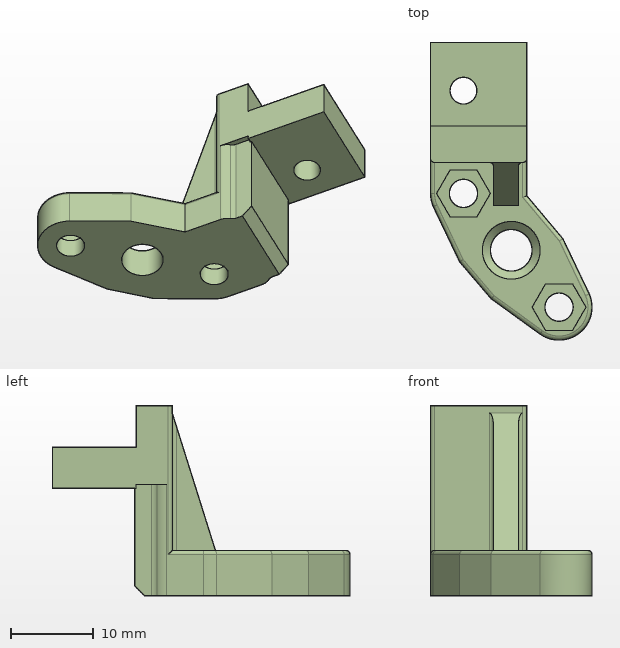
import cadquery as cq
import math


base_height = 5.5
end_radius = 4.0
far_hole_x = 11.55
far_hole_y = -13.75
neck_y = -0.3
edge_fillet = 0.5

part_width = 11.65
left_x = -end_radius
right_x = left_x + part_width
wall_top = 23.0
wall_front_y = 3.75
wall_back_y = 8.13
tang_back_y = 35.98 + far_hole_y - end_radius
tang_bottom = 13.0
tang_thickness = 5.0
tang_hole_y = 12.4
tang_hole_diameter = 3.2

column_back_y = 8.3
column_top = 13.45
column_inset = 0.6
column_chamfer = 1.22
blend_front_y = 4.43
blend_middle_y = 5.6
blend_back_y = 6.25

rib_left_x = 3.65
rib_width = 3.0
rib_front_y = -1.48
rib_top = 22.1
rib_flare = 0.5

screw_diameter = 3.4
nut_across_corners = 6.5
nut_depth = 2.65
center_hole_diameter = 5.0
countersink_diameter = 6.98

center_x = far_hole_x / 2
center_y = far_hole_y / 2


def opposite(point):
    """Point turned by half a turn about the center hole."""
    return (2 * center_x - point[0], 2 * center_y - point[1])


def on_end_circle(angle, x=0, y=0):
    """Point at an angle in degrees on a rounded end centered at x, y."""
    turn = math.radians(angle)
    return (x + end_radius * math.cos(turn), y + end_radius * math.sin(turn))


def box(x_range, y_range, z_range):
    """Axis-aligned block between pairs of limits."""
    size = [high - low for low, high in (x_range, y_range, z_range)]
    corner = (x_range[0], y_range[0], z_range[0])
    return cq.Workplane("XY").box(*size, centered=False).translate(corner)


def make_base():
    """Elongated plate with rounded ends and faceted long sides."""
    near_tangent = on_end_circle(203.5)
    arc_middle = on_end_circle(191.75)
    upper_corner = (-0.45, -8.28)
    lower_corner = (3.35, -12.75)
    far_tangent = on_end_circle(235, far_hole_x, far_hole_y)
    far_arc_middle = on_end_circle(309.25, far_hole_x, far_hole_y)
    return (
        cq.Workplane("XY")
        .moveTo(left_x, wall_back_y)
        .lineTo(left_x, 0)
        .threePointArc(arc_middle, near_tangent)
        .lineTo(*upper_corner)
        .lineTo(*lower_corner)
        .lineTo(*far_tangent)
        .threePointArc(far_arc_middle, opposite(near_tangent))
        .lineTo(*opposite(upper_corner))
        .lineTo(right_x, neck_y)
        .lineTo(right_x, wall_back_y)
        .close()
        .extrude(base_height)
    )


def fillet_front_edges(body):
    """Round the base rim and the two upright front edges of the wall."""
    margin = 0.05
    rim = cq.selectors.BoxSelector(
        (left_x - margin, far_hole_y - 2 * end_radius, base_height - margin),
        (far_hole_x + 2 * end_radius, wall_front_y - margin, base_height + margin),
    )
    uprights = cq.selectors.BoxSelector(
        (left_x - margin, wall_front_y - margin, base_height + margin),
        (right_x + margin, wall_front_y + margin, wall_top - margin),
    )
    return body.edges(rim + uprights).fillet(edge_fillet)


def make_side_recess():
    """Cutter that insets the left side of the column with an S-shaped blend."""
    blend_length = blend_back_y - blend_front_y
    blend_angle = 2 * math.atan(column_inset / blend_length)
    convex_radius = (blend_middle_y - blend_front_y) / math.sin(blend_angle)
    concave_radius = (blend_back_y - blend_middle_y) / math.sin(blend_angle)
    inset_x = left_x + column_inset
    middle_x = left_x + convex_radius * (1 - math.cos(blend_angle))
    half_angle = blend_angle / 2
    convex_point = (left_x + convex_radius * (1 - math.cos(half_angle)),
                    blend_front_y + convex_radius * math.sin(half_angle))
    concave_point = (inset_x - concave_radius * (1 - math.cos(half_angle)),
                     blend_back_y - concave_radius * math.sin(half_angle))
    return (
        cq.Workplane("XY")
        .moveTo(left_x, blend_front_y)
        .threePointArc(convex_point, (middle_x, blend_middle_y))
        .threePointArc(concave_point, (inset_x, blend_back_y))
        .lineTo(inset_x, column_back_y)
        .lineTo(left_x, column_back_y)
        .close()
        .extrude(column_top)
    )


def make_rib():
    """Sloping rib that flares into the wall with concave arcs."""
    flare_y = wall_front_y - rib_flare
    arc_offset = rib_flare * (1 - math.sqrt(0.5))
    rib_right_x = rib_left_x + rib_width
    plan = (
        cq.Workplane("XY")
        .moveTo(rib_left_x, rib_front_y)
        .lineTo(rib_right_x, rib_front_y)
        .lineTo(rib_right_x, flare_y)
        .threePointArc((rib_right_x + arc_offset, wall_front_y - arc_offset),
                       (rib_right_x + rib_flare, wall_front_y))
        .lineTo(rib_left_x - rib_flare, wall_front_y)
        .threePointArc((rib_left_x - arc_offset, wall_front_y - arc_offset),
                       (rib_left_x, flare_y))
        .close()
        .extrude(wall_top)
    )
    wedge = (
        cq.Workplane("YZ")
        .polyline([(rib_front_y, base_height), (wall_front_y, base_height), (wall_front_y, rib_top)])
        .close()
        .extrude(part_width)
    )
    return plan.intersect(wedge)


def cylinder(x, y, diameter):
    """Vertical cutter through the full height."""
    return cq.Workplane("XY").center(x, y).circle(diameter / 2).extrude(wall_top)


wall = box((left_x, right_x), (wall_front_y, wall_back_y), (0, wall_top))
body = fillet_front_edges(make_base().union(wall).clean())

column = box((left_x, right_x), (blend_front_y, column_back_y), (0, column_top))
body = body.union(column).faces(">Y").edges("<Z").chamfer(column_chamfer)
recess = make_side_recess()
body = body.cut(recess)
body = body.cut(recess.mirror("YZ", (left_x + part_width / 2, 0, 0)))

tang_heights = (tang_bottom, tang_bottom + tang_thickness)
body = body.union(box((left_x, right_x), (wall_back_y, tang_back_y), tang_heights))
body = body.union(make_rib())

body = body.cut(cylinder(0, tang_hole_y, tang_hole_diameter))

for x, y in [(0, 0), (far_hole_x, far_hole_y)]:
    pocket = (
        cq.Workplane("XY", origin=(x, y, base_height - nut_depth))
        .polygon(6, nut_across_corners)
        .extrude(nut_depth)
    )
    body = body.cut(cylinder(x, y, screw_diameter)).cut(pocket)

result = (
    body.faces(cq.selectors.NearestToPointSelector((center_x, center_y, base_height)))
    .workplane(origin=(center_x, center_y, base_height))
    .cskHole(center_hole_diameter, countersink_diameter, 90)
)